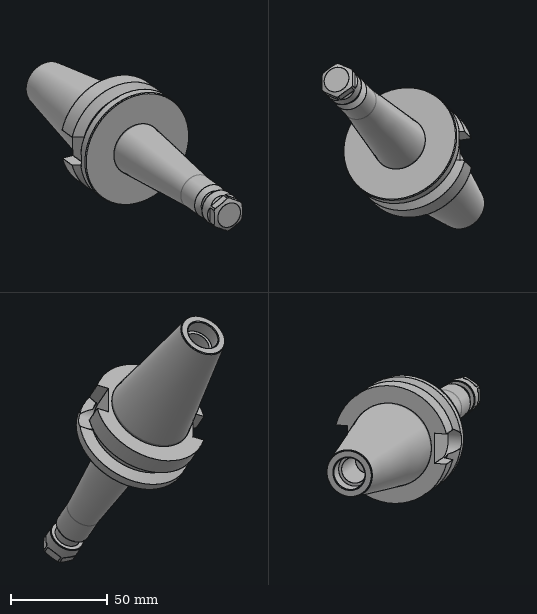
import cadquery as cq
import math


gauge_diameter = 44.45
taper_length = 66.1
taper_ratio = 7 / 24
small_end_chamfer = 0.4
small_end_diameter = gauge_diameter - taper_ratio * taper_length
small_end_rim_diameter = small_end_diameter + taper_ratio * small_end_chamfer

flange_diameter = 62.99
flange_back_x = 0.9
flange_front_x = 26.3
flange_chamfer = 0.5

groove_center_x = 16.2
groove_mouth_width = 10.15
groove_diameter = 52.5
groove_wall_angle = 30.0
groove_depth = (flange_diameter - groove_diameter) / 2
groove_floor_width = groove_mouth_width - 2 * groove_depth * math.tan(math.radians(groove_wall_angle))

nose_base_diameter = 28.5
nose_land_length = 0.5
nose_diameter = 19.0
nose_cone_length = 60.0
nose_straight_length = 14.0
neck_diameter = 14.0
neck_cone_length = (nose_diameter - neck_diameter) / 2
nose_cone_end_x = flange_front_x + nose_cone_length
nose_end_x = nose_cone_end_x + nose_straight_length
neck_start_x = nose_end_x + neck_cone_length

slot_width = 16.1
slot_floor_radius = 24.05
slot_end_x = 22.4

bore_mouth_diameter = 17.9
bore_diameter = 17.02
bore_mouth_angle = 45.0
bore_depth = 8.0
thread_diameter = 13.72
thread_depth = 30.0
coolant_diameter = 5.69
coolant_depth = 50.0

overall_length = 185.53
nut_diameter = 19.05
nut_chamfer = 0.4
hex_sides = 6
hex_across_flats = 17.02
face_diameter = 13.72
face_angle = 20.0
face_chamfer_length = (nut_diameter - face_diameter) / 2 * math.tan(math.radians(face_angle))
hex_length = 5.0
nut_back_x = 107.3
nut_tip_x = overall_length - taper_length
hex_start_x = nut_tip_x - hex_length


def turned(profile):
    """Revolve an (axial position, radius) outline around the X axis."""
    return cq.Workplane("XY").polyline(profile).close().revolve(360, (0, 0, 0), (1, 0, 0))


def holder_body():
    flange_radius = flange_diameter / 2
    groove_radius = groove_diameter / 2
    return turned([
        (-taper_length, 0),
        (-taper_length, small_end_diameter / 2 - small_end_chamfer),
        (-taper_length + small_end_chamfer, small_end_rim_diameter / 2),
        (0, gauge_diameter / 2),
        (flange_back_x, gauge_diameter / 2),
        (flange_back_x, flange_radius),
        (groove_center_x - groove_mouth_width / 2, flange_radius),
        (groove_center_x - groove_floor_width / 2, groove_radius),
        (groove_center_x + groove_floor_width / 2, groove_radius),
        (groove_center_x + groove_mouth_width / 2, flange_radius),
        (flange_front_x - flange_chamfer, flange_radius),
        (flange_front_x, flange_radius - flange_chamfer),
        (flange_front_x, nose_base_diameter / 2),
        (flange_front_x + nose_land_length, nose_base_diameter / 2),
        (nose_cone_end_x, nose_diameter / 2),
        (nose_end_x, nose_diameter / 2),
        (neck_start_x, neck_diameter / 2),
        (nut_back_x, neck_diameter / 2),
        (nut_back_x, 0),
    ])


def drive_slot(side):
    """Round-ended slot cutter on the +Y (side = 1) or -Y (side = -1) flank."""
    straight_end_x = slot_end_x - slot_width / 2
    half_width = slot_width / 2
    return (
        cq.Workplane("XZ", origin=(0, side * slot_floor_radius, 0))
        .moveTo(flange_back_x, -half_width)
        .lineTo(straight_end_x, -half_width)
        .threePointArc((slot_end_x, 0), (straight_end_x, half_width))
        .lineTo(flange_back_x, half_width)
        .close()
        .extrude(-side * flange_diameter / 2)
    )


def drawbar_bore():
    """Chamfered counterbore, thread core hole and blind coolant hole."""
    mouth_step = (bore_mouth_diameter - bore_diameter) / 2
    mouth_length = mouth_step / math.tan(math.radians(bore_mouth_angle))
    return turned([
        (-taper_length, 0),
        (-taper_length, bore_mouth_diameter / 2),
        (-taper_length + mouth_length, bore_diameter / 2),
        (-taper_length + bore_depth, bore_diameter / 2),
        (-taper_length + bore_depth, thread_diameter / 2),
        (-taper_length + thread_depth, thread_diameter / 2),
        (-taper_length + thread_depth, coolant_diameter / 2),
        (-taper_length + coolant_depth, coolant_diameter / 2),
        (-taper_length + coolant_depth, 0),
    ])


def nut_body():
    nut_radius = nut_diameter / 2
    return turned([
        (nut_back_x, 0),
        (nut_back_x, nut_radius - nut_chamfer),
        (nut_back_x + nut_chamfer, nut_radius),
        (nut_tip_x - face_chamfer_length, nut_radius),
        (nut_tip_x, face_diameter / 2),
        (nut_tip_x, 0),
    ])


def wrench_flat():
    """Cutter for the flat facing -Y, with a 45 degree run-out towards the back."""
    flat_radius = hex_across_flats / 2
    run_out = nut_diameter - flat_radius
    return (
        cq.Workplane("XY")
        .moveTo(hex_start_x, -flat_radius)
        .lineTo(nut_tip_x, -flat_radius)
        .lineTo(nut_tip_x, -flat_radius - run_out)
        .lineTo(hex_start_x - run_out, -flat_radius - run_out)
        .close()
        .extrude(nut_diameter / 2, both=True)
    )


holder = holder_body().cut(drawbar_bore())
for side in (-1, 1):
    holder = holder.cut(drive_slot(side))

nut = nut_body()
for flat_index in range(hex_sides):
    nut = nut.cut(wrench_flat().rotate((0, 0, 0), (1, 0, 0), flat_index * 360 / hex_sides))

result = cq.Compound.makeCompound([holder.val(), nut.val()])